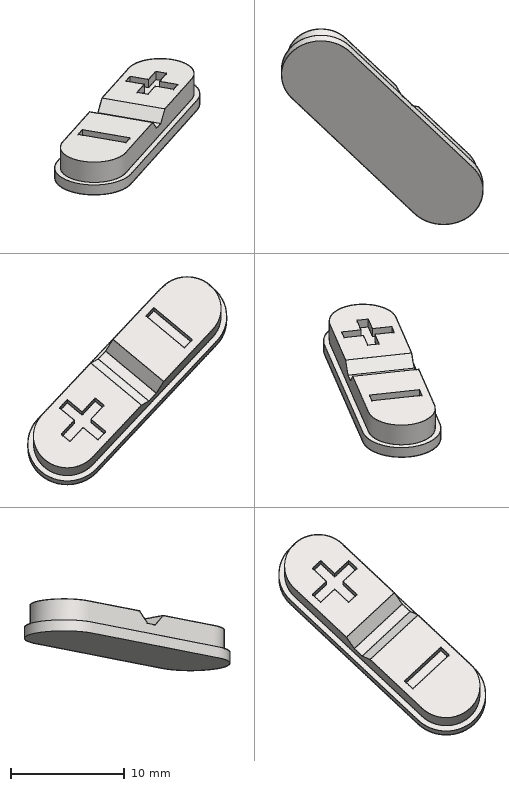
import cadquery as cq

length = 23.0
width = 7.0
height = 3.0

flange_height = 1.0
ledge = 0.5
body_length = length - 2 * ledge
body_width = width - 2 * ledge

groove_floor = 1.0
groove_depth = 1.0
groove_mouth = groove_floor + 2 * groove_depth

bar_length = 4.53
bar_width = 1.03
recess_depth = 0.8
plus_y = 5.95
minus_y = -5.59


def rounded_bar(bar_len, bar_wid, bar_height):
    """Upright full-round bar running along Y, standing on Z = 0."""
    return cq.Workplane("XY").slot2D(bar_len, bar_wid, 90).extrude(bar_height)


def recess(size_x, size_y, center_y):
    """Rectangular cutter reaching down from the top face."""
    return (
        cq.Workplane("XY", origin=(0, center_y, height))
        .rect(size_x, size_y)
        .extrude(-recess_depth)
    )


def groove():
    """Cutter for the groove, running along X through the full width."""
    return (
        cq.Workplane("YZ")
        .polyline([
            (-groove_mouth / 2, height),
            (-groove_floor / 2, height - groove_depth),
            (groove_floor / 2, height - groove_depth),
            (groove_mouth / 2, height),
        ])
        .close()
        .extrude(width / 2, both=True)
    )


flange = rounded_bar(length, width, flange_height)
body = rounded_bar(body_length, body_width, height)
plus = recess(bar_length, bar_width, plus_y).union(recess(bar_width, bar_length, plus_y))
minus = recess(bar_length, bar_width, minus_y)

result = flange.union(body).cut(groove()).cut(plus).cut(minus)